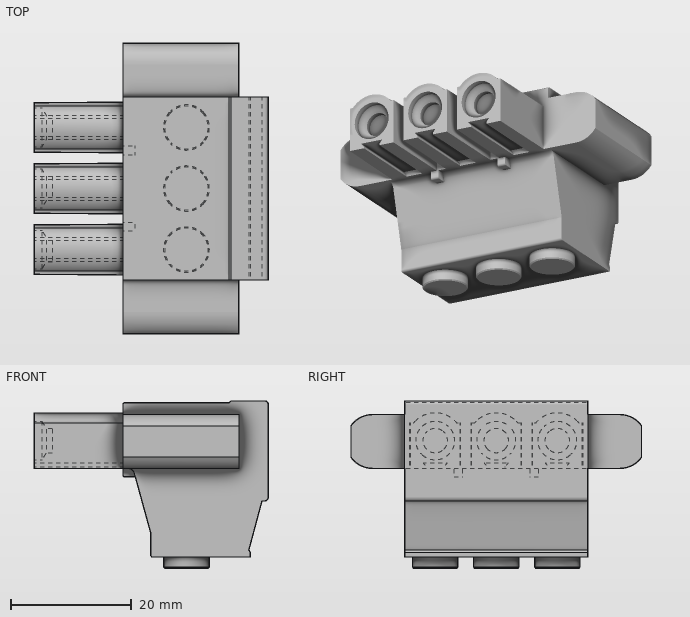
import cadquery as cq


POLE_COUNT = 3
POLE_PITCH = 10.15

BODY_WIDTH = POLE_COUNT * POLE_PITCH
BODY_DEPTH = 24.15
BODY_HEIGHT = 25.95
FRONT_TOP = 25.65
STEP_START = 17.65
STEP_END = 18.0
SHELF_HEIGHT = 14.7
SHELF_DEPTH = 1.7
FOOT_FRONT = 4.65
FOOT_SLOPE_TOP = 4.0
FOOT_BACK = 21.2
TOE_HEIGHT = 0.8
TOE_GROOVE_X = 20.95
TOE_GROOVE_Z = 1.2
BACK_LIP_HEIGHT = 9.3
BACK_LIP_X = 23.1
BACK_RADIUS = 0.68
FRONT_RADIUS = 0.4
SHELF_RADIUS = 1.0

OVERALL_WIDTH = 48.25
FLANGE_DEPTH = 19.25
FLANGE_HEIGHT = 8.95
FLANGE_ROUND_WIDTH = 3.6
FLANGE_ROUND_HEIGHT = 1.9

SLEEVE_LENGTH = 14.7
SLEEVE_ROOT_WIDTH = 8.45
SLEEVE_TIP_WIDTH = 8.25
SHOULDER_HEIGHT = 22.3
CROWN_RADIUS = 4.65
BORE_AXIS_HEIGHT = 19.35
MOUTH_DIAMETER = 6.4
MOUTH_DEPTH = 1.3
CONE_DEPTH = 2.05
BORE_DIAMETER = 4.05
BORE_DEPTH = 3.1
DOVETAIL_HEIGHT = 0.9
DOVETAIL_TOP_WIDTH = 3.95
DOVETAIL_MOUTH_WIDTH = 2.95
DOVETAIL_LIP = 0.3

TAB_SPACING = 12.65
TAB_WIDTH = 1.45
TAB_BOTTOM = 13.3
TAB_DEPTH = 2.9
TAB_RADIUS = 0.35
TAB_OVERLAP = 1.45

SCREW_DIAMETER = 7.55
SCREW_HEIGHT = 1.85
SCREW_X = 10.55
SCREW_CHAMFER = 0.2

POLE_POSITIONS = [(i - (POLE_COUNT - 1) / 2) * POLE_PITCH for i in range(POLE_COUNT)]


def fillet_at(solid, x, z, radius):
    """Round the edge parallel to Y that crosses the middle plane at (x, z)."""
    edge = cq.selectors.NearestToPointSelector((x, 0, z))
    return solid.edges("|Y").edges(edge).fillet(radius)


def make_body():
    outline = [
        (FOOT_FRONT, 0),
        (FOOT_BACK, 0),
        (FOOT_BACK, TOE_HEIGHT),
        (TOE_GROOVE_X, TOE_GROOVE_Z),
        (BACK_LIP_X, BACK_LIP_HEIGHT),
        (BODY_DEPTH, BACK_LIP_HEIGHT),
        (BODY_DEPTH, BODY_HEIGHT),
        (STEP_END, BODY_HEIGHT),
        (STEP_START, FRONT_TOP),
        (0, FRONT_TOP),
        (0, SHELF_HEIGHT),
        (SHELF_DEPTH, SHELF_HEIGHT),
        (FOOT_FRONT, FOOT_SLOPE_TOP),
    ]
    body = cq.Workplane("XZ").polyline(outline).close().extrude(BODY_WIDTH / 2, both=True)
    body = fillet_at(body, BODY_DEPTH, BODY_HEIGHT, BACK_RADIUS)
    body = fillet_at(body, BODY_DEPTH, BACK_LIP_HEIGHT, BACK_RADIUS)
    body = fillet_at(body, 0, FRONT_TOP, FRONT_RADIUS)
    body = fillet_at(body, FOOT_FRONT, 0, FRONT_RADIUS)
    return fillet_at(body, SHELF_DEPTH, SHELF_HEIGHT, SHELF_RADIUS)


def make_flanges():
    """One bar through the body whose ends form both side flanges."""
    top = SHELF_HEIGHT + FLANGE_HEIGHT
    side = OVERALL_WIDTH / 2
    flat = side - FLANGE_ROUND_WIDTH
    middle = SHELF_HEIGHT + FLANGE_HEIGHT / 2
    half = (
        cq.Workplane("YZ")
        .moveTo(0, middle)
        .lineTo(0, top)
        .lineTo(flat, top)
        .tangentArcPoint((side, top - FLANGE_ROUND_HEIGHT), relative=False)
        .lineTo(side, middle)
        .close()
        .extrude(FLANGE_DEPTH)
    )
    half = half.union(half.mirror("XY", (0, 0, middle)))
    return half.union(half.mirror("XZ"))


def make_sleeve():
    """Contact sleeve on Y = 0, narrowing slightly towards its tip."""
    plan = [
        (0, -SLEEVE_ROOT_WIDTH / 2),
        (0, SLEEVE_ROOT_WIDTH / 2),
        (-SLEEVE_LENGTH, SLEEVE_TIP_WIDTH / 2),
        (-SLEEVE_LENGTH, -SLEEVE_TIP_WIDTH / 2),
    ]
    block = (
        cq.Workplane("XY", origin=(0, 0, SHELF_HEIGHT))
        .polyline(plan)
        .close()
        .extrude(SHOULDER_HEIGHT - SHELF_HEIGHT)
    )
    axis = cq.Workplane("YZ", origin=(-SLEEVE_LENGTH, 0, BORE_AXIS_HEIGHT))
    crown = axis.circle(CROWN_RADIUS).extrude(SLEEVE_LENGTH)
    above_shoulder = (
        cq.Workplane("XY", origin=(-SLEEVE_LENGTH / 2, 0, SHOULDER_HEIGHT))
        .rect(SLEEVE_LENGTH, 2 * CROWN_RADIUS)
        .extrude(CROWN_RADIUS)
    )
    sleeve = block.union(crown.intersect(above_shoulder))
    return sleeve.cut(make_bore()).cut(make_dovetail())


def make_bore():
    """Stepped bore: wide mouth, short funnel, then a straight blind bore."""
    half_section = [
        (0, 0),
        (0, MOUTH_DIAMETER / 2),
        (MOUTH_DEPTH, MOUTH_DIAMETER / 2),
        (CONE_DEPTH, BORE_DIAMETER / 2),
        (BORE_DEPTH, BORE_DIAMETER / 2),
        (BORE_DEPTH, 0),
    ]
    return (
        cq.Workplane("XZ", origin=(-SLEEVE_LENGTH, 0, BORE_AXIS_HEIGHT))
        .polyline(half_section)
        .close()
        .revolve(360, (0, 0, 0), (1, 0, 0))
    )


def make_dovetail():
    """Undercut groove along the whole underside of a sleeve."""
    section = [
        (-DOVETAIL_MOUTH_WIDTH / 2, 0),
        (DOVETAIL_MOUTH_WIDTH / 2, 0),
        (DOVETAIL_MOUTH_WIDTH / 2, DOVETAIL_LIP),
        (DOVETAIL_TOP_WIDTH / 2, DOVETAIL_HEIGHT),
        (-DOVETAIL_TOP_WIDTH / 2, DOVETAIL_HEIGHT),
        (-DOVETAIL_MOUTH_WIDTH / 2, DOVETAIL_LIP),
    ]
    return (
        cq.Workplane("YZ", origin=(-SLEEVE_LENGTH, 0, SHELF_HEIGHT))
        .polyline(section)
        .close()
        .extrude(SLEEVE_LENGTH)
    )


def make_tab():
    """Coding tab on Y = 0; its upper part merges into the body."""
    tab = (
        cq.Workplane("XY", origin=(TAB_DEPTH / 2, 0, TAB_BOTTOM))
        .rect(TAB_DEPTH, TAB_WIDTH)
        .extrude(SHELF_HEIGHT - TAB_BOTTOM + TAB_OVERLAP)
    )
    return fillet_at(tab, 0, TAB_BOTTOM, TAB_RADIUS)


def make_screw():
    return (
        cq.Workplane("XY", origin=(SCREW_X, 0, -SCREW_HEIGHT))
        .circle(SCREW_DIAMETER / 2)
        .extrude(SCREW_HEIGHT)
        .faces("<Z")
        .chamfer(SCREW_CHAMFER)
    )


result = make_body().union(make_flanges())
for pole_y in POLE_POSITIONS:
    result = result.union(make_sleeve().translate((0, pole_y, 0)))
    result = result.union(make_screw().translate((0, pole_y, 0)))
for side in (-1, 1):
    result = result.union(make_tab().translate((0, side * TAB_SPACING / 2, 0)))